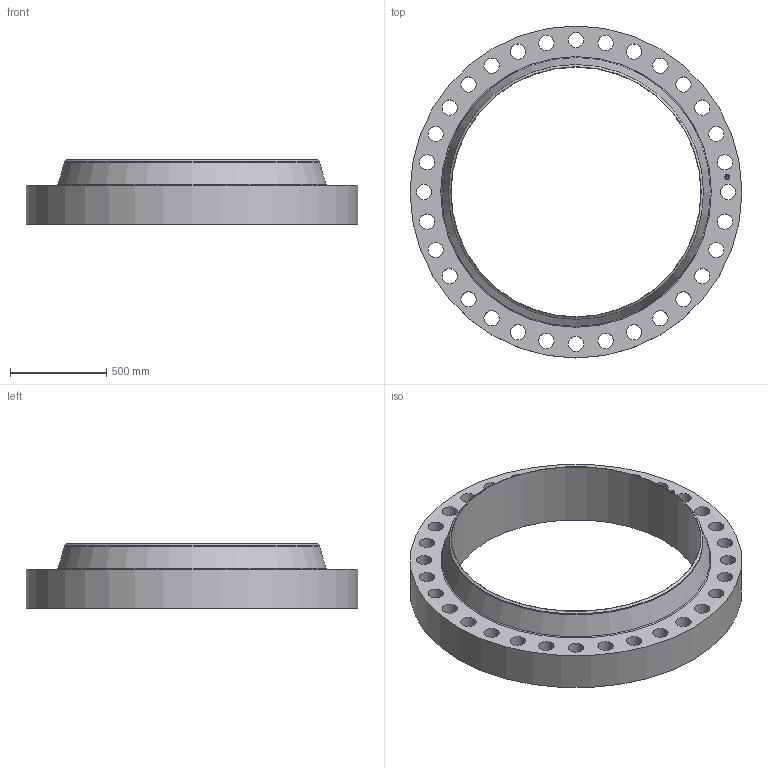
import cadquery as cq
import math

flange_diameter = 1720.85
flange_thickness = 203.2
bore_diameter = 1295.4

overall_height = 336.55
hub_base_diameter = 1394.0
hub_tip_diameter = 1320.8
bevel_angle = 37.5
bevel_land_width = 1.6
tip_straight_height = 6.35
hub_root_fillet = 6.35

bolt_count = 32
bolt_circle_diameter = 1574.8
bolt_hole_diameter = 79.375

blind_hole_diameter = 12.7
blind_hole_depth = 50.8
counterbore_diameter = 25.4
counterbore_depth = 5.0
blind_hole_angle = 360 / bolt_count / 2


def flange_body():
    """Revolved ring: flat flange, tapered hub, straight tip and weld bevel."""
    bore_radius = bore_diameter / 2
    flange_radius = flange_diameter / 2
    hub_tip_radius = hub_tip_diameter / 2
    bevel_width = hub_tip_radius - bore_radius - bevel_land_width
    bevel_base = overall_height - bevel_width * math.tan(math.radians(bevel_angle))
    profile = (
        cq.Workplane("XZ")
        .moveTo(bore_radius, 0)
        .lineTo(flange_radius, 0)
        .lineTo(flange_radius, flange_thickness)
        .lineTo(hub_base_diameter / 2, flange_thickness)
        .lineTo(hub_tip_radius, bevel_base - tip_straight_height)
        .lineTo(hub_tip_radius, bevel_base)
        .lineTo(bore_radius + bevel_land_width, overall_height)
        .lineTo(bore_radius, overall_height)
        .close()
    )
    body = profile.revolve(360, (0, 0, 0), (0, 1, 0))
    hub_root_edge = cq.selectors.RadiusNthSelector(-2)
    return body.edges("%CIRCLE").edges(hub_root_edge).fillet(hub_root_fillet)


def bolt_holes():
    """Through holes evenly spaced on the bolt circle, one of them on +X."""
    return (
        cq.Workplane("XY")
        .polarArray(bolt_circle_diameter / 2, 0, 360, bolt_count)
        .circle(bolt_hole_diameter / 2)
        .extrude(flange_thickness)
    )


def drill_blind_hole(body):
    """Sink the single counterbored blind hole into the hub-side face of the flange."""
    angle = math.radians(blind_hole_angle)
    radius = bolt_circle_diameter / 2
    return (
        body.copyWorkplane(cq.Workplane("XY", origin=(0, 0, flange_thickness)))
        .center(radius * math.cos(angle), radius * math.sin(angle))
        .cboreHole(blind_hole_diameter, counterbore_diameter, counterbore_depth, blind_hole_depth)
    )


result = drill_blind_hole(flange_body().cut(bolt_holes()))